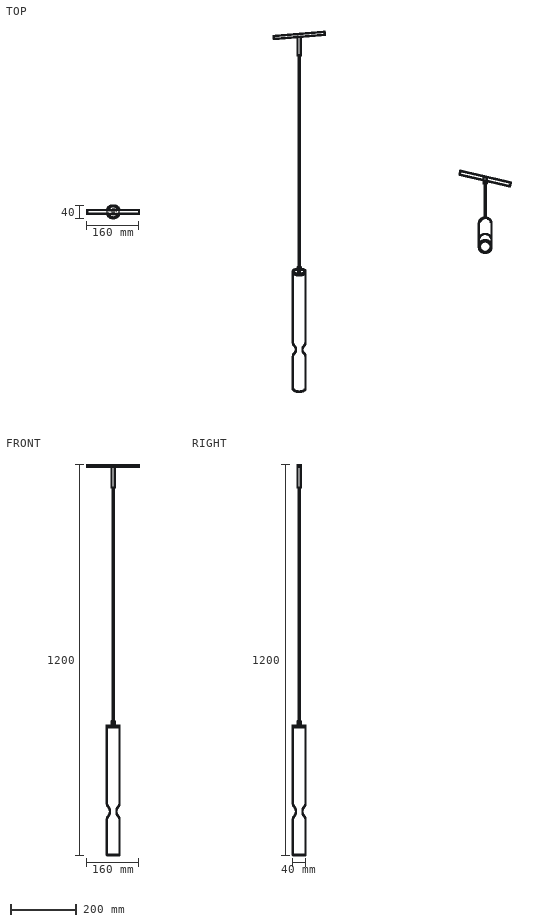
import cadquery as cq
import math

total_height = 1200.0

bar_length = 160.0
bar_width = 12.0
bar_thickness = 6.0
bar_edge_radius = 1.8

stem_radius = 5.4
stem_length = 64.0
cable_radius = 1.8
ferrule_radius = stem_radius
ferrule_height = 10.0
ferrule_chamfer = 4.0
nipple_radius = 3.0
nipple_height = 6.0

body_diameter = 40.0
body_height = 400.0
body_bottom_chamfer = 4.0
cap_rim_width = 3.0
cap_thickness = 6.0

waist_center_height = 135.0
waist_half_length = 25.0
waist_radius = 10.2
waist_rim_arc_radius = 15.0

body_radius = body_diameter / 2
cap_radius = body_radius - cap_rim_width
bar_bottom = total_height - bar_thickness
stem_bottom = bar_bottom - stem_length
ferrule_bottom = body_height + nipple_height
ferrule_top = ferrule_bottom + ferrule_height


def cylinder(radius, bottom, top):
    """Upright cylinder on the Z axis between two heights."""
    return cq.Workplane("XY").workplane(offset=bottom).circle(radius).extrude(top - bottom)


def make_bar():
    """Flat bar with rounded long upper edges."""
    blank = cq.Workplane("XY").box(bar_length, bar_width, bar_thickness, centered=(True, True, False))
    return blank.edges("|X and >Z").fillet(bar_edge_radius).translate((0, 0, bar_bottom))


def make_stem():
    return cylinder(stem_radius, stem_bottom, bar_bottom)


def make_cable():
    return cylinder(cable_radius, ferrule_top, stem_bottom)


def make_ferrule():
    return cylinder(ferrule_radius, ferrule_bottom, ferrule_top).faces(">Z").chamfer(ferrule_chamfer)


def make_nipple():
    return cylinder(nipple_radius, body_height, ferrule_bottom)


def make_cap():
    return cylinder(cap_radius, body_height - cap_thickness, body_height)


def make_body(cap):
    """Round body turned from one outline, with a recess for the cap."""
    waist_depth = body_radius - waist_radius
    turn = 2 * math.atan(waist_depth / waist_half_length)
    neck_arc_radius = waist_half_length / math.sin(turn) - waist_rim_arc_radius
    neck_center_x = waist_radius + neck_arc_radius
    rim_center_x = body_radius - waist_rim_arc_radius

    join_x = neck_center_x - neck_arc_radius * math.cos(turn)
    join_rise = neck_arc_radius * math.sin(turn)
    rim_mid_x = rim_center_x + waist_rim_arc_radius * math.cos(turn / 2)
    rim_mid_rise = waist_half_length - waist_rim_arc_radius * math.sin(turn / 2)

    outline = (
        cq.Workplane("XZ")
        .lineTo(body_radius - body_bottom_chamfer, 0)
        .lineTo(body_radius, body_bottom_chamfer)
        .lineTo(body_radius, waist_center_height - waist_half_length)
        .threePointArc(
            (rim_mid_x, waist_center_height - rim_mid_rise),
            (join_x, waist_center_height - join_rise),
        )
        .threePointArc(
            (waist_radius, waist_center_height),
            (join_x, waist_center_height + join_rise),
        )
        .threePointArc(
            (rim_mid_x, waist_center_height + rim_mid_rise),
            (body_radius, waist_center_height + waist_half_length),
        )
        .lineTo(body_radius, body_height)
        .lineTo(0, body_height)
        .close()
    )
    return outline.revolve(360, (0, 0, 0), (0, 1, 0)).cut(cap)


bar = make_bar()
stem = make_stem()
cable = make_cable()
ferrule = make_ferrule()
nipple = make_nipple()
cap = make_cap()
body = make_body(cap)

result = cq.Compound.makeCompound([
    bar.solids().val(),
    stem.solids().val(),
    cable.solids().val(),
    ferrule.solids().val(),
    nipple.solids().val(),
    cap.solids().val(),
    body.solids().val(),
])